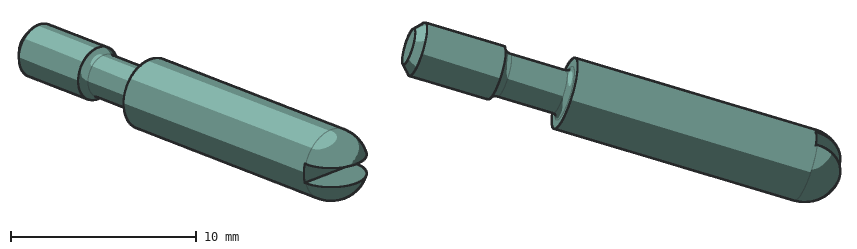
import cadquery as cq
import math

length = 24.72
body_radius = 2.0
thread_radius = 1.5
neck_radius = 1.2
tip_chamfer = 0.5
thread_length = 5.02
shoulder = 8.97
shoulder_fillet = 0.3
undercut_radius = 0.5
slot_width = 1.11
slot_depth = 2.0

dome_center = length - math.sqrt(body_radius**2 - (slot_width / 2) ** 2)
apex = dome_center + body_radius
slot_floor = length - slot_depth

thread_step = thread_radius - neck_radius
undercut_angle = math.acos(1 - thread_step / undercut_radius)
neck_start = thread_length + undercut_radius * math.sin(undercut_angle)
undercut_middle = (
    neck_start - undercut_radius * math.sin(undercut_angle / 2),
    neck_radius + undercut_radius * (1 - math.cos(undercut_angle / 2)),
)

neck_end = shoulder - shoulder_fillet
diagonal = math.sqrt(0.5)
fillet_middle = (
    neck_end + shoulder_fillet * diagonal,
    neck_radius + shoulder_fillet * (1 - diagonal),
)

dome_middle = (
    dome_center + body_radius * diagonal,
    body_radius * diagonal,
)

pin = (
    cq.Workplane("XY")
    .moveTo(0, 0)
    .lineTo(0, thread_radius - tip_chamfer)
    .lineTo(tip_chamfer, thread_radius)
    .lineTo(thread_length, thread_radius)
    .threePointArc(undercut_middle, (neck_start, neck_radius))
    .lineTo(neck_end, neck_radius)
    .threePointArc(fillet_middle, (shoulder, neck_radius + shoulder_fillet))
    .lineTo(shoulder, body_radius)
    .lineTo(dome_center, body_radius)
    .threePointArc(dome_middle, (apex, 0))
    .close()
    .revolve(360, (0, 0, 0), (1, 0, 0))
)

slot = (
    cq.Workplane("XY")
    .box(apex - slot_floor, 2 * body_radius, slot_width, centered=(False, True, True))
    .translate((slot_floor, 0, 0))
)

result = pin.cut(slot).translate((-length / 2, 0, 0))